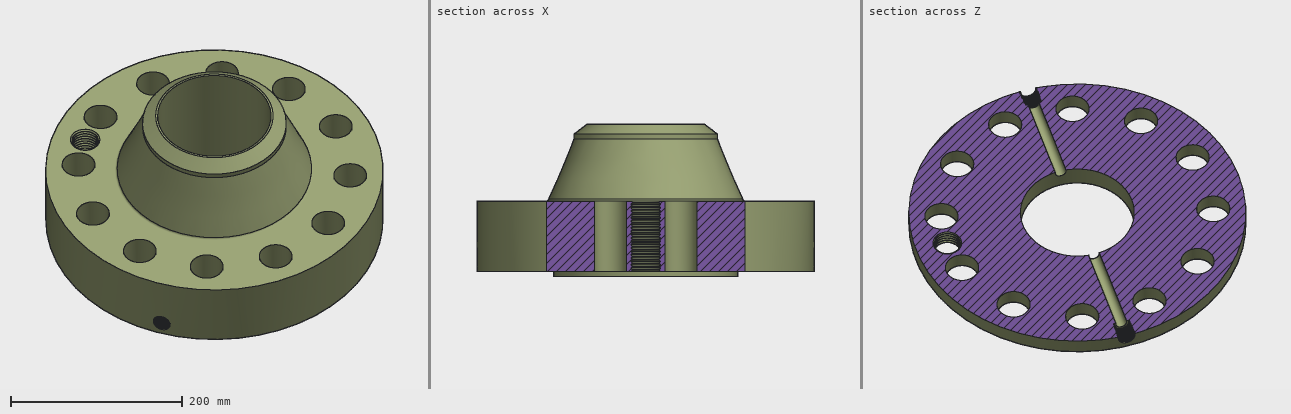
import cadquery as cq
import math

flange_dia = 393.7
raised_face_dia = 215.0
raised_face_height = 6.0
flange_thickness = 82.3

total_height = 178.0
neck_base_dia = 231.5
neck_dia = 167.7
weld_end_dia = 137.0
bore_dia = 132.3
bevel_height = 12.0
neck_straight_height = 6.0
base_fillet_width = 2.5
base_fillet_height = 2.5

bolt_count = 12
bolt_circle_dia = 317.5
bolt_hole_dia = 38.0
jack_major_dia = 34.3
jack_minor_dia = 30.7
jack_pitch = 4.0

thread_crest_share = 0.15

tap_height = 23.2
tap_major_dia = 21.3
tap_thread_depth = 1.38
tap_thread_length = 21.5
tap_pitch = 1.8
tap_taper = 1 / 32
tap_drill_dia = 13.0

flange_top = raised_face_height + flange_thickness
bevel_start = total_height - bevel_height
straight_start = bevel_start - neck_straight_height


def flange_body():
    """Revolve the half section of the flange with its weld neck and bore."""
    neck_base_radius = neck_base_dia / 2
    cone_base_radius = neck_base_radius - base_fillet_width
    cone_base_z = flange_top + base_fillet_height
    fillet_mid = (
        neck_base_radius - base_fillet_width * math.sin(math.pi / 4),
        cone_base_z - base_fillet_height * math.cos(math.pi / 4),
    )
    section = (
        cq.Workplane("XZ")
        .moveTo(bore_dia / 2, 0)
        .lineTo(raised_face_dia / 2, 0)
        .lineTo(raised_face_dia / 2, raised_face_height)
        .lineTo(flange_dia / 2, raised_face_height)
        .lineTo(flange_dia / 2, flange_top)
        .lineTo(neck_base_radius, flange_top)
        .threePointArc(fillet_mid, (cone_base_radius, cone_base_z))
        .lineTo(neck_dia / 2, straight_start)
        .lineTo(neck_dia / 2, bevel_start)
        .lineTo(weld_end_dia / 2, total_height)
        .lineTo(bore_dia / 2, total_height)
        .close()
    )
    return section.revolve(360, (0, 0, 0), (0, 1, 0))


def thread_cutter(major_dia, depth, pitch, length, taper=0.0):
    """Ring-grooved cutter standing for a thread, going down from z = 0."""
    groove_count = round(length / pitch)
    step = length / groove_count
    half_crest = thread_crest_share * step / 2
    points = [(0, 0), (major_dia / 2, 0)]
    for groove in range(groove_count):
        crest_middle = (groove + 0.5) * step
        root_depth = (groove + 1) * step
        crest_radius = major_dia / 2 - depth - taper * crest_middle
        points.append((crest_radius, -crest_middle + half_crest))
        points.append((crest_radius, -crest_middle - half_crest))
        points.append((major_dia / 2 - taper * root_depth, -root_depth))
    points.append((0, -length))
    return cq.Workplane("XZ").polyline(points).close().revolve(360, (0, 0, 0), (0, 1, 0))


def bolt_holes():
    """Bolt holes straddling the X and Y axes."""
    return (
        cq.Workplane("XY")
        .polarArray(bolt_circle_dia / 2, 180 / bolt_count, 360, bolt_count)
        .circle(bolt_hole_dia / 2)
        .extrude(flange_top)
    )


def jack_screw_hole():
    """Threaded hole through the plate on the -X side, between two bolt holes."""
    thread_depth = (jack_major_dia - jack_minor_dia) / 2
    cutter = thread_cutter(jack_major_dia, thread_depth, jack_pitch, flange_thickness)
    return cutter.translate((-bolt_circle_dia / 2, 0, flange_top))


def pressure_tap():
    """Threaded tap entering the rim at -Y and drilled through to the bore."""
    thread = thread_cutter(tap_major_dia, tap_thread_depth, tap_pitch, tap_thread_length, tap_taper)
    drill = cq.Workplane("XY").circle(tap_drill_dia / 2).extrude(-flange_dia / 2)
    cutter = thread.union(drill).rotate((0, 0, 0), (1, 0, 0), 90)
    return cutter.translate((0, -flange_dia / 2, tap_height))


result = flange_body().cut(bolt_holes()).cut(jack_screw_hole())
for tap_angle in (0, 180):
    result = result.cut(pressure_tap().rotate((0, 0, 0), (0, 0, 1), tap_angle))